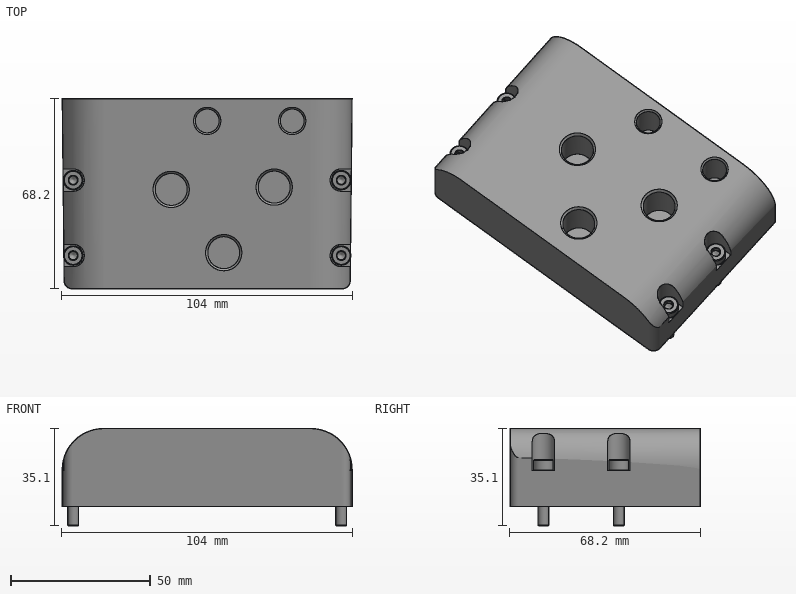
import cadquery as cq
import math

WIDTH = 104.0
DEPTH = 68.2
HEIGHT = 28.1
SHOULDER_RADIUS = 15.0
SIDE_DRAFT = 0.6
CORNER_RADIUS = 3.0

PORT_DEPTH = 15.6
COUNTERSINK_ANGLE = 90
MAIN_PORT_DIAMETER = 11.4
MAIN_PORT_RIM = 13.0
MAIN_PORTS = [(-12.9, 35.7), (24.0, 36.5), (5.9, 13.0)]
SIDE_PORT_DIAMETER = 8.5
SIDE_PORT_RIM = 9.8
SIDE_PORTS = [(0.0, 60.2), (30.5, 60.2)]

SCREW_X = 48.0
SCREW_ROWS = [12.0, 39.0]
SCREW_CENTRES = [(side * SCREW_X, y) for side in (-1, 1) for y in SCREW_ROWS]
SEAT_Z = 12.9
SEAT_WIDTH = 8.0
HEAD_DIAMETER = 7.0
HEAD_HEIGHT = 4.1
HEAD_CHAMFER = 0.3
SHANK_DIAMETER = 4.0
SHANK_HOLE_DIAMETER = 4.3
SHANK_PROTRUSION = 7.0
TIP_CHAMFER = 0.4
SOCKET_ACROSS_FLATS = 3.0
HEX_HALF_ANGLE = 30
SOCKET_DEPTH = 2.0
SOCKET_CONE_DEPTH = 0.8


def make_block():
    """Round-shouldered block with tapered sides and rounded front corners."""
    half_width = WIDTH / 2
    front_half_width = half_width - DEPTH * math.tan(math.radians(SIDE_DRAFT))

    block = (
        cq.Workplane("XY")
        .box(WIDTH, DEPTH, HEIGHT, centered=(True, False, False))
        .edges("|Y and >Z")
        .fillet(SHOULDER_RADIUS)
    )
    plan = (
        cq.Workplane("XY")
        .polyline([
            (-front_half_width, 0),
            (front_half_width, 0),
            (half_width, DEPTH),
            (-half_width, DEPTH),
        ])
        .close()
        .extrude(HEIGHT)
        .edges("|Z and <Y")
        .fillet(CORNER_RADIUS)
    )
    return block.intersect(plan)


def cut_ports(body, centres, diameter, rim_diameter):
    """Cut flat-bottomed ports with a countersunk rim from the top face."""
    return (
        body.faces(">Z")
        .workplane(origin=(0, 0, HEIGHT))
        .pushPoints(centres)
        .cskHole(diameter, rim_diameter, COUNTERSINK_ANGLE, depth=PORT_DEPTH)
    )


def make_seat_cutter(x, y):
    """U-shaped screw seat, open at the top and at the nearer side of the housing."""
    cut_height = HEIGHT - SEAT_Z
    outward = math.copysign(SEAT_WIDTH, x)
    round_end = cq.Workplane("XY", origin=(x, y, SEAT_Z)).circle(SEAT_WIDTH / 2).extrude(cut_height)
    open_side = (
        cq.Workplane("XY", origin=(x + outward / 2, y, SEAT_Z))
        .rect(SEAT_WIDTH, SEAT_WIDTH)
        .extrude(cut_height)
    )
    shank_hole = cq.Workplane("XY", origin=(x, y, 0)).circle(SHANK_HOLE_DIAMETER / 2).extrude(SEAT_Z)
    return round_end.union(open_side).union(shank_hole)


def make_housing():
    """Block with its ports and the screw seats cut out."""
    housing = make_block()
    housing = cut_ports(housing, MAIN_PORTS, MAIN_PORT_DIAMETER, MAIN_PORT_RIM)
    housing = cut_ports(housing, SIDE_PORTS, SIDE_PORT_DIAMETER, SIDE_PORT_RIM)
    for x, y in SCREW_CENTRES:
        housing = housing.cut(make_seat_cutter(x, y))
    return housing


def make_socket_cutter(head_top):
    """Hexagon socket with a conical floor and a conical lead-in that clears its corners."""
    flat_radius = SOCKET_ACROSS_FLATS / 2
    corner_radius = flat_radius / math.cos(math.radians(HEX_HALF_ANGLE))
    lead_in = corner_radius - flat_radius
    floor = head_top - SOCKET_DEPTH

    hexagon = (
        cq.Workplane("XY", origin=(0, 0, floor))
        .polygon(6, 2 * corner_radius)
        .extrude(SOCKET_DEPTH)
        .rotate((0, 0, 0), (0, 0, 1), HEX_HALF_ANGLE)
    )
    half_section = [
        (0, head_top),
        (corner_radius, head_top),
        (flat_radius, head_top - lead_in),
        (flat_radius, floor),
        (0, floor - SOCKET_CONE_DEPTH),
    ]
    round_core = cq.Workplane("XZ").polyline(half_section).close().revolve(360, (0, 0, 0), (0, 1, 0))
    return hexagon.union(round_core)


def make_screw(x, y):
    """Socket-head screw, turned about its own axis and then placed at (x, y)."""
    head_radius = HEAD_DIAMETER / 2
    shank_radius = SHANK_DIAMETER / 2
    head_top = SEAT_Z + HEAD_HEIGHT
    tip = -SHANK_PROTRUSION

    half_section = [
        (0, tip),
        (shank_radius - TIP_CHAMFER, tip),
        (shank_radius, tip + TIP_CHAMFER),
        (shank_radius, SEAT_Z),
        (head_radius - HEAD_CHAMFER, SEAT_Z),
        (head_radius, SEAT_Z + HEAD_CHAMFER),
        (head_radius, head_top - HEAD_CHAMFER),
        (head_radius - HEAD_CHAMFER, head_top),
        (0, head_top),
    ]
    screw = cq.Workplane("XZ").polyline(half_section).close().revolve(360, (0, 0, 0), (0, 1, 0))
    return screw.cut(make_socket_cutter(head_top)).translate((x, y, 0))


housing = make_housing()
screws = [make_screw(x, y) for x, y in SCREW_CENTRES]

result = cq.Compound.makeCompound([housing.val(), *[screw.val() for screw in screws]])